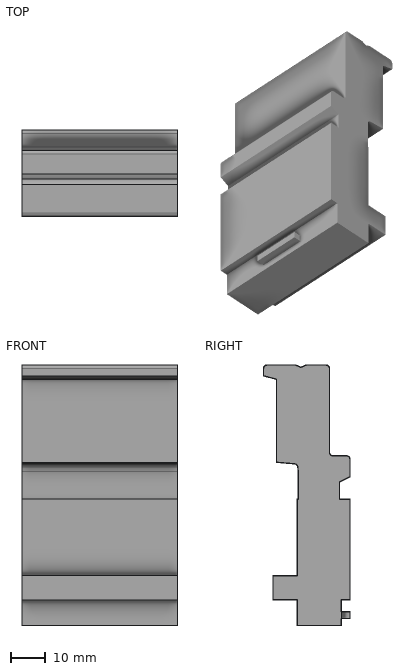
import cadquery as cq
import math

length = 45.0
depth = 25.0
height = 75.24

flange_front = 2.75
head_front = 3.75
lower_wall = 9.75
neck_wall = 10.0
head_back = 19.1
notch_back = 22.0
foot_back = 22.5

lip_height = 3.15
lip_angle = 15.0
lip_root_z = height - lip_height - head_front * math.tan(math.radians(lip_angle))

undercut_angle = 5.0
undercut_slope = math.tan(math.radians(undercut_angle))
head_bottom_z = height - 28.12
undercut_end_z = height - 30.75

shoulder_z = height - 26.2
shoulder_side = 6.1
shoulder_underside_drop = 1.5
shoulder_bottom_z = shoulder_z - shoulder_side
notch_top_z = shoulder_bottom_z - shoulder_underside_drop
ledge_z = height - 38.75

flange_bottom_z = 7.4
flange_thickness = 7.0
flange_top_z = flange_bottom_z + flange_thickness

groove_y = 10.8
groove_width = 3.0
groove_depth = 0.65

tab_width = 15.0
tab_bottom_z = 2.0
tab_thickness = 2.0

corner_radius = 1.0

wall_rise = head_bottom_z - undercut_end_z
wall_lean = undercut_slope * (wall_rise + undercut_slope * head_front)
undercut_y = (neck_wall - wall_lean) / (1 - undercut_slope**2)
undercut_z = head_bottom_z - undercut_slope * (undercut_y - head_front)


def make_body():
    outline = [
        (lower_wall, 0),
        (lower_wall, flange_bottom_z),
        (flange_front, flange_bottom_z),
        (flange_front, flange_top_z),
        (lower_wall, flange_top_z),
        (lower_wall, ledge_z),
        (neck_wall, ledge_z),
        (neck_wall, undercut_end_z),
        (undercut_y, undercut_z),
        (head_front, head_bottom_z),
        (head_front, lip_root_z),
        (0, height - lip_height),
        (0, height),
        (head_back, height),
        (head_back, shoulder_z),
        (depth, shoulder_z),
        (depth, shoulder_bottom_z),
        (notch_back, notch_top_z),
        (notch_back, ledge_z),
        (depth, ledge_z),
        (depth, flange_bottom_z),
        (foot_back, flange_bottom_z),
        (foot_back, 0),
    ]
    return cq.Workplane("YZ").polyline(outline).close().extrude(length / 2, both=True)


def round_corners(body):
    corners = [
        (0, height),
        (head_back, height),
        (head_back, shoulder_z),
        (depth, shoulder_z),
        (undercut_y, undercut_z),
    ]
    for y, z in corners:
        lengthwise_edge = cq.selectors.NearestToPointSelector((0, y, z))
        body = body.edges(lengthwise_edge).fillet(corner_radius)
    return body


def make_groove():
    section = [
        (groove_y - groove_width / 2, height),
        (groove_y, height - groove_depth),
        (groove_y + groove_width / 2, height),
    ]
    return cq.Workplane("YZ").polyline(section).close().extrude(length / 2, both=True)


def make_tab():
    tab = cq.Workplane("XY").box(tab_width, depth - foot_back, tab_thickness, centered=(True, False, False))
    return tab.translate((0, foot_back, tab_bottom_z))


result = round_corners(make_body()).cut(make_groove()).union(make_tab())